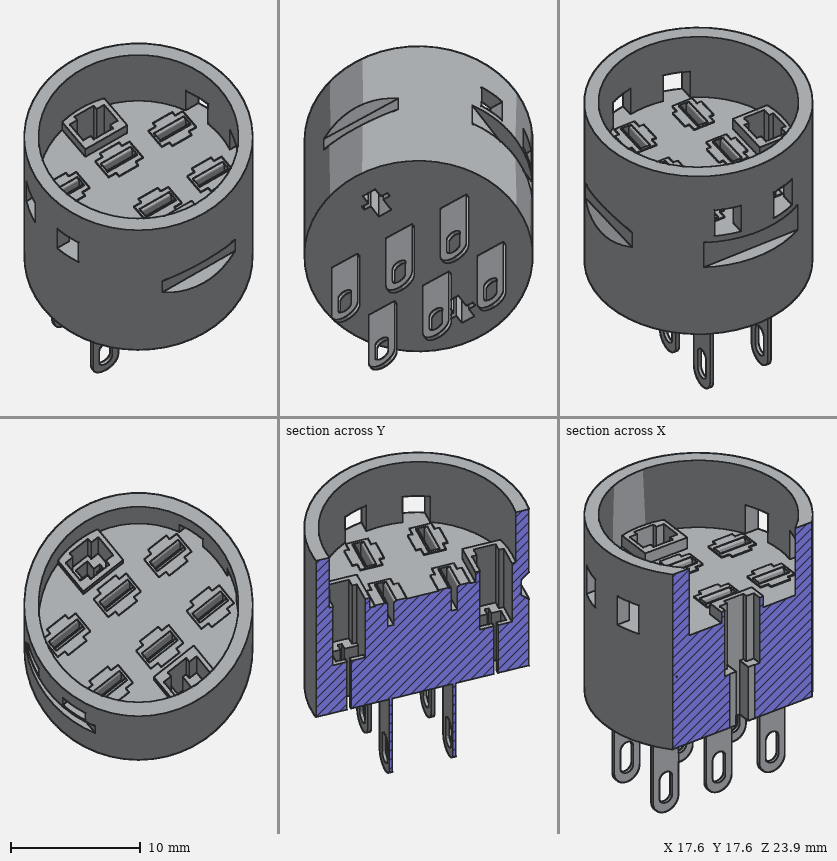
import cadquery as cq

outer_diameter = 17.6
inner_diameter = 15.4
total_height = 23.9
housing_height = 16.01
floor_depth = 6.12
floor_z = housing_height - floor_depth
outer_radius = outer_diameter / 2
inner_radius = inner_diameter / 2

window_width = 2.0
window_height = 2.6
window_spacing = 4.97

back_notch_bottom = 6.79
back_notch_height = 2.5

side_groove_depth = 0.7
side_groove_bottom = 6.75
side_groove_mouth = 2.87
side_groove_floor = side_groove_mouth - 2 * side_groove_depth

column_spacing = 5.2
row_spacing = 5.0
contact_places = [(i * column_spacing / 2, j * row_spacing) for i in (-1, 1) for j in (-1, 0, 1)]

cross_stem_width = 1.82
cross_stem_length = 3.23
cross_arm_span = 2.6
cross_arm_length = 1.82

pad_height = 0.1
slot_mouth_width = 0.93
slot_length = 2.8
slot_depth = 2.4
lip_radius = 0.25
lip_recess = 0.05

guide_x = 6.02
guide_inner_face_x = 4.33
guide_block_length = 3.95
guide_block_height = 1.0
guide_pocket_depth = 5.98
guide_hole_length = 1.15
guide_hole_outer_x = 6.98
guide_hole_inner_x = guide_x - cross_arm_span / 2
guide_slit_width = 0.33
guide_slit_length = 2.35

tag_length = total_height - housing_height
tag_width = 2.4
tag_thickness = 0.3
eye_width = 1.2
eye_length = 2.8
eye_clearance = 0.84


def block(x_range, y_range, z_range):
    """Box between two limits along each axis."""
    limits = (x_range, y_range, z_range)
    sizes = [high - low for low, high in limits]
    corner = tuple(low for low, high in limits)
    return cq.Workplane("XY").box(*sizes, centered=False).translate(corner)


def cross(x, y, bottom_z, height):
    """Upright prism with the cross outline."""
    base = cq.Workplane("XY", origin=(x, y, bottom_z))
    stem = base.rect(cross_stem_width, cross_stem_length).extrude(height)
    arms = base.rect(cross_arm_span, cross_arm_length).extrude(height)
    return stem.union(arms)


def housing():
    body = cq.Workplane("XY").circle(outer_radius).extrude(housing_height)
    cup = cq.Workplane("XY", origin=(0, 0, floor_z)).circle(inner_radius).extrude(floor_depth)
    return body.cut(cup)


def windows():
    return (
        cq.Workplane("XY", origin=(0, 0, floor_z))
        .pushPoints([(-window_spacing / 2, 0), (window_spacing / 2, 0)])
        .rect(window_width, outer_diameter)
        .extrude(window_height)
    )


def back_notch():
    z_range = (back_notch_bottom, back_notch_bottom + back_notch_height)
    return block((-outer_radius, outer_radius), (inner_radius, outer_radius), z_range)


def side_groove():
    middle_z = side_groove_bottom + side_groove_mouth / 2
    floor_x = outer_radius - side_groove_depth
    return (
        cq.Workplane("XZ")
        .moveTo(outer_radius, middle_z - side_groove_mouth / 2)
        .lineTo(floor_x, middle_z - side_groove_floor / 2)
        .lineTo(floor_x, middle_z + side_groove_floor / 2)
        .lineTo(outer_radius, middle_z + side_groove_mouth / 2)
        .close()
        .extrude(outer_radius, both=True)
    )


def contact_slot(x, y):
    """Slot down through a pad, its mouth narrowed by two rounded lips just below the pad top."""
    half_mouth = slot_mouth_width / 2
    half_gap = half_mouth - lip_radius
    return (
        cq.Workplane("XZ", origin=(x, y, floor_z + pad_height - lip_recess))
        .moveTo(-half_mouth, lip_recess)
        .lineTo(-half_mouth, 0)
        .radiusArc((-half_gap, -lip_radius), lip_radius)
        .lineTo(-half_gap, -slot_depth)
        .lineTo(half_gap, -slot_depth)
        .lineTo(half_gap, -lip_radius)
        .radiusArc((half_mouth, 0), lip_radius)
        .lineTo(half_mouth, lip_recess)
        .close()
        .extrude(slot_length / 2, both=True)
    )


def solder_tag(x, y):
    """Flat tag with a round end and a long eye."""
    end_radius = tag_width / 2
    eye_z = -tag_length + eye_clearance + eye_length / 2
    return (
        cq.Workplane("YZ", origin=(x - tag_thickness / 2, y, 0))
        .moveTo(-end_radius, 0)
        .lineTo(-end_radius, end_radius - tag_length)
        .threePointArc((0, -tag_length), (end_radius, end_radius - tag_length))
        .lineTo(end_radius, 0)
        .close()
        .moveTo(0, eye_z)
        .slot2D(eye_length, eye_width, 90)
        .extrude(tag_thickness)
    )


def guide_block():
    """Block on the +X side of the floor that reaches the round wall."""
    half_length = guide_block_length / 2
    z_range = (floor_z, floor_z + guide_block_height)
    body = block((guide_inner_face_x, outer_radius), (-half_length, half_length), z_range)
    bore = cq.Workplane("XY", origin=(0, 0, floor_z)).circle(inner_radius).extrude(guide_block_height)
    return body.intersect(bore)


def guide_opening():
    """Cross pocket in the +X guide block with a smaller cross hole through the base."""
    top_z = floor_z + guide_block_height
    pocket = cross(guide_x, 0, top_z - guide_pocket_depth, guide_pocket_depth)
    half_hole = guide_hole_length / 2
    hole = block((guide_hole_inner_x, guide_hole_outer_x), (-half_hole, half_hole), (0, top_z))
    slit = (
        cq.Workplane("XY", origin=(guide_x, 0, 0))
        .rect(guide_slit_width, guide_slit_length)
        .extrude(top_z)
    )
    return pocket.union(hole).union(slit)


result = housing().cut(windows()).cut(back_notch()).cut(side_groove())

for contact_x, contact_y in contact_places:
    result = result.union(cross(contact_x, contact_y, floor_z, pad_height))
    result = result.cut(contact_slot(contact_x, contact_y))
    result = result.union(solder_tag(contact_x, contact_y))

for guide_part in (guide_block(), guide_block().mirror("YZ")):
    result = result.union(guide_part)
for opening in (guide_opening(), guide_opening().mirror("YZ")):
    result = result.cut(opening)